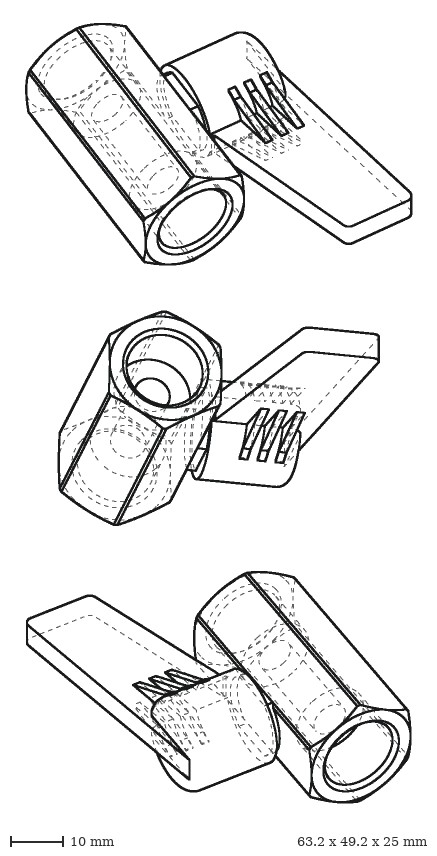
import cadquery as cq
import math


BODY_LENGTH = 45.0
BODY_ACROSS_FLATS = 22.0
BODY_TURNED_DIAMETER = 25.0
BODY_START_X = -20.32
END_CHAMFER_ANGLE = 30.0

PORT_DIAMETER = 15.0
PORT_MOUTH_DIAMETER = 16.8
PORT_DEPTH = 12.0
PORT_CHAMFER_DEPTH = (PORT_MOUTH_DIAMETER - PORT_DIAMETER) / 2
PASSAGE_DIAMETER = 7.0

STEM_DIAMETER = 16.3
STEM_ACROSS_FLATS = 13.1

HUB_DIAMETER = 19.3
HUB_BASE_Y = 12.5
HUB_HEIGHT = 18.0
HUB_TOP_Y = HUB_BASE_Y + HUB_HEIGHT
HUB_FILLET = 2.5

BLADE_THICKNESS = 5.2
BLADE_END_X = 42.9
BLADE_TOP_ANGLE = 9.01
BLADE_BOTTOM_ANGLE = 17.2
BLADE_ROOT_RADIUS = 9.9
BLADE_ROOT_STEP = 0.6
BLADE_CORNER_RADIUS = 1.5

RIB_COUNT = 3
RIB_WIDTH = 1.55
RIB_PITCH = 3.53
RIB_END_X = 16.6
RIB_CREST_X = 7.2
RIB_CREST_Z = math.sqrt(BLADE_ROOT_RADIUS**2 - RIB_CREST_X**2)
RIB_START_X = 5.5
FIRST_RIB_END_Y = 29.2


def slope(angle):
    return math.tan(math.radians(angle))


def x_cylinder(start_x, length, diameter):
    """Cylinder along +X on the flow axis."""
    return cq.Workplane("YZ", origin=(start_x, 0, 0)).circle(diameter / 2).extrude(length)


def y_cylinder(start_y, length, diameter):
    """Cylinder along +Y on the stem axis."""
    return cq.Workplane("XZ", origin=(0, start_y, 0)).circle(diameter / 2).extrude(-length)


def make_body():
    """Hexagonal bar with turned corners and conical end chamfers."""
    corner_diameter = BODY_ACROSS_FLATS / math.cos(math.pi / 6)
    hexagon = (
        cq.Workplane("YZ", origin=(BODY_START_X, 0, 0))
        .transformed(rotate=(0, 0, 90))
        .polygon(6, corner_diameter)
        .extrude(BODY_LENGTH)
    )
    radial_drop = (BODY_TURNED_DIAMETER - BODY_ACROSS_FLATS) / 2
    axial_drop = radial_drop * slope(END_CHAMFER_ANGLE)
    envelope = (
        x_cylinder(BODY_START_X, BODY_LENGTH, BODY_TURNED_DIAMETER)
        .faces("<X").chamfer(axial_drop, radial_drop)
        .faces(">X").chamfer(axial_drop, radial_drop)
    )
    return hexagon.intersect(envelope)


def make_port():
    """Void of the port at the -X end, with its conical mouth."""
    bore_radius = PORT_DIAMETER / 2
    mouth_radius = PORT_MOUTH_DIAMETER / 2
    return (
        cq.Workplane("XY", origin=(BODY_START_X, 0, 0))
        .moveTo(0, 0)
        .lineTo(0, mouth_radius)
        .lineTo(PORT_CHAMFER_DEPTH, bore_radius)
        .lineTo(PORT_DEPTH, bore_radius)
        .lineTo(PORT_DEPTH, 0)
        .close()
        .revolve(360, (0, 0, 0), (1, 0, 0))
    )


def make_flow_voids():
    """Two opposed ports joined by the straight passage."""
    port = make_port()
    body_middle_x = BODY_START_X + BODY_LENGTH / 2
    opposite_port = port.mirror("YZ", (body_middle_x, 0, 0))
    passage = x_cylinder(BODY_START_X, BODY_LENGTH, PASSAGE_DIAMETER)
    return passage.union(port).union(opposite_port)


def make_stem():
    """Round collar with two flats facing +Z and -Z, running from the flow axis to the hub."""
    flats = cq.Workplane("XY").box(STEM_DIAMETER, 2 * HUB_BASE_Y, STEM_ACROSS_FLATS)
    return y_cylinder(0, HUB_BASE_Y, STEM_DIAMETER).intersect(flats)


def make_hub():
    return y_cylinder(HUB_BASE_Y, HUB_HEIGHT, HUB_DIAMETER).faces(">Y").edges().fillet(HUB_FILLET)


def make_blade():
    """Flat tapered lever, starting where the top of the hub turns into its fillet."""
    top_start_x = HUB_FILLET - HUB_DIAMETER / 2
    top_end_y = HUB_TOP_Y + (BLADE_END_X - top_start_x) * slope(BLADE_TOP_ANGLE)
    root_y = HUB_BASE_Y + BLADE_ROOT_STEP
    bottom_end_y = root_y + (BLADE_END_X - BLADE_ROOT_RADIUS) * slope(BLADE_BOTTOM_ANGLE)
    outline = [
        (top_start_x, HUB_TOP_Y),
        (top_start_x, HUB_BASE_Y),
        (BLADE_ROOT_RADIUS, HUB_BASE_Y),
        (BLADE_ROOT_RADIUS, root_y),
        (BLADE_END_X, bottom_end_y),
        (BLADE_END_X, top_end_y),
    ]
    return (
        cq.Workplane("XY")
        .polyline(outline)
        .close()
        .extrude(BLADE_THICKNESS / 2, both=True)
        .edges("|Z and >X")
        .fillet(BLADE_CORNER_RADIUS)
    )


def make_rib(end_y):
    """Slanted rib on both blade faces, rounded over the hub and sloping down to the blade."""
    start_y = end_y - (RIB_END_X - RIB_START_X) * slope(BLADE_TOP_ANGLE)
    bar = (
        cq.Workplane("XY")
        .polyline([
            (RIB_START_X, start_y),
            (RIB_END_X, end_y),
            (RIB_END_X, end_y - RIB_WIDTH),
            (RIB_START_X, start_y - RIB_WIDTH),
        ])
        .close()
        .extrude(HUB_DIAMETER / 2, both=True)
    )
    root = y_cylinder(HUB_BASE_Y, HUB_HEIGHT, 2 * BLADE_ROOT_RADIUS)
    wedge = (
        cq.Workplane("XZ", origin=(0, HUB_BASE_Y, 0))
        .polyline([
            (0, -RIB_CREST_Z),
            (RIB_CREST_X, -RIB_CREST_Z),
            (RIB_END_X, -BLADE_THICKNESS / 2),
            (RIB_END_X, BLADE_THICKNESS / 2),
            (RIB_CREST_X, RIB_CREST_Z),
            (0, RIB_CREST_Z),
        ])
        .close()
        .extrude(-HUB_HEIGHT)
    )
    return bar.intersect(root.union(wedge))


def make_lever():
    lever = make_hub().union(make_blade())
    for index in range(RIB_COUNT):
        lever = lever.union(make_rib(FIRST_RIB_END_Y - index * RIB_PITCH))
    return lever


result = make_body().union(make_stem()).cut(make_flow_voids()).union(make_lever())